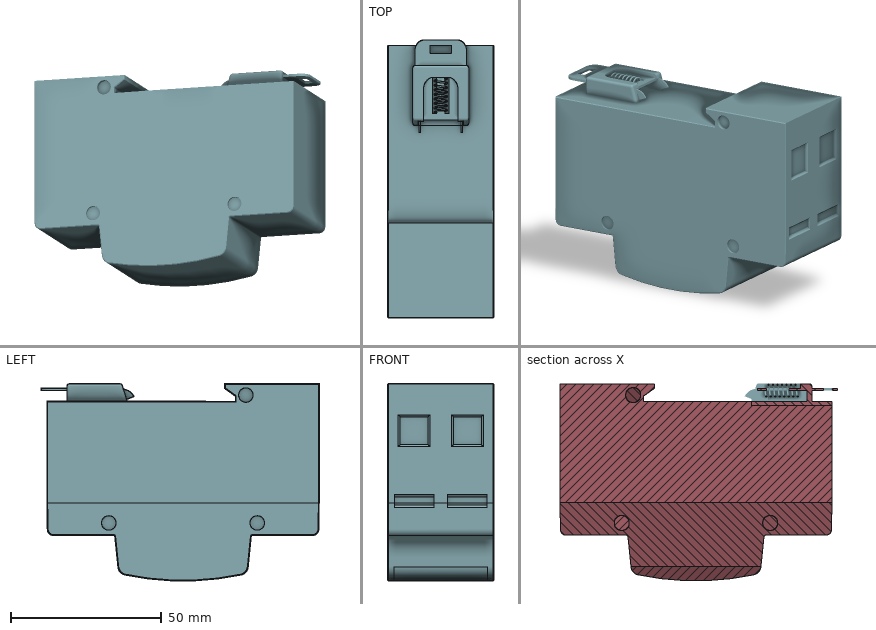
import cadquery as cq
import math

width = 35.4
half_width = width / 2
body_length = 90.6
mid_y = body_length / 2
top_z = 65.6
rail_floor_z = 59.8
split_z = 26.0
shoulder_z = 15.2
side_draft = 0.2
rim_chamfer = 0.3

hook_tip_y = 31.5
hook_tip_z = 64.1
hook_root_y = 27.9
hook_root_z = 61.5
relief_edge_y = 39.75
relief_middle_y = 39.4
relief_depth = 0.1

nose_half_top = 22.7
nose_half_low = 21.4
nose_corner_z = 2.5
nose_corner_radius = 3.1
shoulder_radius = 2.0
nose_root_radius = 0.5
panel_half_width = 15.5
panel_top_z = 4.7

pole_offset = 8.9
terminal_size = 10.5
terminal_bevel = 0.65
terminal_depth = 0.8
terminal_z = 50.0
slot_width = 13.1
slot_height = 4.25
slot_bevel = 0.8
slot_depth = 0.9
slot_z = 26.6

rivet_radius = 2.4
upper_rivet_y = 24.4
upper_rivet_z = 61.8
upper_rivet_recess = 1.4
lower_rivet_offset = 24.7
lower_rivet_z = 19.3
lower_rivet_recess = 0.8

clip_half_width = 9.3
clip_back_y = 83.9
clip_front_top_y = 65.6
clip_front_low_y = 63.9
clip_fillet = 0.9
slide_half_width = 7.6
slide_depth = 1.4
clip_back_wall = 1.8
plate_top_z = 64.15
plate_thickness = 0.8
plate_bottom_z = plate_top_z - plate_thickness
plate_front_y = 65.7
tab_half_width = 8.5
tab_end_y = 92.4
tab_corner_radius = 3.2
tab_slot_length = 7.3
tab_slot_width = 2.8
tab_slot_y = 89.2
tab_slot_radius = 0.6
opening_half_width = 5.7
opening_back_y = 80.0
opening_back_half_width = 3.0
opening_arc_radius = 4.1
prong_inner_x = 6.75
prong_thickness = 0.6
prong_root_y = 65.3
prong_root_z = 63.9
prong_tip_y = 61.6
prong_tip_z = 61.4
prong_arc_y = 63.0
prong_arc_z = 63.0
prong_heel_z = 60.5
prong_back_y = 69.3

window_half_width = 2.7
window_front_y = 67.9
window_back_y = 79.9
tongue_half_width = 1.4
front_tongue_length = 0.8
back_tongue_length = 3.8
wire_radius = 0.3
coil_radius = 1.9
coil_turns = 7.5
spring_start_y = 68.3
spring_end_y = 79.5
spring_axis_z = plate_bottom_z


def block(x0, x1, y0, y1, z0, z1):
    """Box between two opposite corners."""
    return cq.Workplane("XY").box(x1 - x0, y1 - y0, z1 - z0, centered=False).translate((x0, y0, z0))


def side_prism(points, x0, x1):
    """Prism along X with a polygonal YZ section."""
    return cq.Workplane("YZ", origin=(x0, 0, 0)).polyline(points).close().extrude(x1 - x0)


def edges_along_x(body, offset, z):
    """Edges along X that lie at a height z, on both sides of the middle of the body."""
    reach = 0.2
    found = []
    for y in (mid_y - offset, mid_y + offset):
        corners = [(end * half_width, y + end * reach, z + end * reach) for end in (-1, 1)]
        found += body.edges("|X").edges(cq.selectors.BoxSelector(*corners)).vals()
    return body.newObject(found)


def housing_envelope():
    """Complete housing, before it is divided into base, cover and panel."""
    points_before_arc = [
        (0, top_z),
        (hook_tip_y, top_z),
        (hook_tip_y, hook_tip_z),
        (hook_root_y, hook_root_z),
        (hook_root_y, rail_floor_z),
        (body_length, rail_floor_z),
        (body_length, split_z),
        (body_length - side_draft, shoulder_z),
        (mid_y + nose_half_top, shoulder_z),
        (mid_y + nose_half_low, nose_corner_z),
    ]
    points_after_arc = [
        (mid_y - nose_half_top, shoulder_z),
        (side_draft, shoulder_z),
        (0, split_z),
    ]
    outline = cq.Workplane("YZ", origin=(-half_width, 0, 0)).polyline(points_before_arc)
    outline = outline.threePointArc((mid_y, 0), (mid_y - nose_half_low, nose_corner_z))
    for point in points_after_arc:
        outline = outline.lineTo(*point)
    body = outline.close().extrude(width)

    body = edges_along_x(body, nose_half_low, nose_corner_z).fillet(nose_corner_radius)
    body = edges_along_x(body, mid_y - side_draft, shoulder_z).fillet(shoulder_radius)
    body = edges_along_x(body, nose_half_top, shoulder_z).fillet(nose_root_radius)
    return body.faces("<X or >X").edges().chamfer(rim_chamfer)


def rail_relief(side):
    """Very shallow wedge in the channel floor beside the hook, on one half of the width."""
    def section(plane_x, start_y):
        corners = [
            (plane_x, start_y, rail_floor_z),
            (plane_x, hook_root_y, rail_floor_z),
            (plane_x, hook_root_y, rail_floor_z - relief_depth),
        ]
        return cq.Wire.makePolygon([cq.Vector(*corner) for corner in corners], close=True)

    sections = [section(0, relief_middle_y), section(side * half_width, relief_edge_y)]
    return cq.Workplane(cq.Solid.makeLoft(sections, True))


def front_pocket(x, z, pocket_width, pocket_height, side_bevel, end_bevel, depth):
    """Pocket in the front face that narrows toward its flat floor."""
    mouth = cq.Workplane("XZ", origin=(x, 0, z)).rect(pocket_width, pocket_height)
    floor_width = pocket_width - 2 * side_bevel
    floor_height = pocket_height - 2 * end_bevel
    floor = mouth.workplane(offset=-depth).rect(floor_width, floor_height)
    return floor.loft(ruled=True)


def front_pockets():
    """One terminal window and one slot for each pole."""
    pockets = []
    for x in (-pole_offset, pole_offset):
        pockets.append(front_pocket(
            x, terminal_z, terminal_size, terminal_size, terminal_bevel, terminal_bevel, terminal_depth))
        pockets.append(front_pocket(x, slot_z, slot_width, slot_height, 0, slot_bevel, slot_depth))
    return pockets


rivet_places = [
    (upper_rivet_y, upper_rivet_z, upper_rivet_recess),
    (mid_y - lower_rivet_offset, lower_rivet_z, lower_rivet_recess),
    (mid_y + lower_rivet_offset, lower_rivet_z, lower_rivet_recess),
]


def cross_cylinder(y, z, recess):
    """Cylinder along X whose ends lie a given distance inside the side faces."""
    length = width - 2 * recess
    return cq.Workplane("YZ", origin=(-length / 2, y, z)).circle(rivet_radius).extrude(length)


rivets = [cross_cylinder(y, z, recess) for y, z, recess in rivet_places]

slide_space = block(
    -slide_half_width, slide_half_width, clip_front_low_y, body_length,
    rail_floor_z - slide_depth, rail_floor_z)

housing = housing_envelope().cut(slide_space)
for rivet_y, rivet_z, _ in rivet_places:
    housing = housing.cut(cross_cylinder(rivet_y, rivet_z, 0))
for pocket in front_pockets():
    housing = housing.cut(pocket)
for side in (-1, 1):
    housing = housing.cut(rail_relief(side))

base = housing.intersect(block(-half_width, half_width, 0, body_length, split_z, top_z))
lower_housing = housing.intersect(block(-half_width, half_width, 0, body_length, 0, split_z))
panel_space = block(-panel_half_width, panel_half_width, 0, body_length, 0, panel_top_z)
panel = lower_housing.intersect(panel_space)
cover = lower_housing.cut(panel_space)


def clip_shell():
    """Hollow hood with a sloping front, open toward the front and the floor."""
    section = [
        (clip_back_y, rail_floor_z),
        (clip_back_y, top_z),
        (clip_front_top_y, top_z),
        (clip_front_low_y, rail_floor_z),
    ]
    hood = side_prism(section, -clip_half_width, clip_half_width)
    hood = hood.edges("not <Z").fillet(clip_fillet)
    return hood.cut(block(
        -slide_half_width, slide_half_width, 0, clip_back_y - clip_back_wall, rail_floor_z, plate_top_z))


def clip_opening():
    """Arched opening in the hood's roof, running out through the front."""
    arc_width = opening_half_width - opening_back_half_width
    rise = math.sqrt(opening_arc_radius**2 - (opening_arc_radius - arc_width) ** 2)
    arc_start_y = opening_back_y - rise
    half_angle = math.asin(rise / opening_arc_radius) / 2
    arc_mid_x = opening_half_width - opening_arc_radius * (1 - math.cos(half_angle))
    arc_mid_y = arc_start_y + opening_arc_radius * math.sin(half_angle)
    outline = (
        cq.Workplane("XY", origin=(0, 0, plate_bottom_z))
        .moveTo(-opening_half_width, 0)
        .lineTo(opening_half_width, 0)
        .lineTo(opening_half_width, arc_start_y)
        .threePointArc((arc_mid_x, arc_mid_y), (opening_back_half_width, opening_back_y))
        .lineTo(-opening_back_half_width, opening_back_y)
        .threePointArc((-arc_mid_x, arc_mid_y), (-opening_half_width, arc_start_y))
        .close()
    )
    return outline.extrude(top_z - plate_bottom_z)


def clip_plate():
    """Flat plate under the roof that leaves the hood at the back as a pull tab."""
    plate = block(-tab_half_width, tab_half_width, plate_front_y, tab_end_y, plate_bottom_z, plate_top_z)
    plate = plate.edges("|Z and >Y").fillet(tab_corner_radius)
    tab_slot = (
        cq.Workplane("XY", origin=(0, tab_slot_y, plate_bottom_z))
        .rect(tab_slot_length, tab_slot_width)
        .extrude(plate_thickness)
        .edges("|Z")
        .fillet(tab_slot_radius)
    )
    return plate.cut(tab_slot)


def spring_window():
    """Window in the plate around the spring, with flat tongues that enter both coil ends."""
    def opening(half_span, y0, y1):
        return block(-half_span, half_span, y0, y1, plate_bottom_z, plate_top_z)

    window = opening(window_half_width, window_front_y, window_back_y)
    front_tongue = opening(tongue_half_width, window_front_y, window_front_y + front_tongue_length)
    back_tongue = opening(tongue_half_width, window_back_y - back_tongue_length, window_back_y)
    return window.cut(front_tongue).cut(back_tongue)


def prong(side):
    """Thin pointed catch standing on the slide, next to one side wall."""
    outline = (
        cq.Workplane("YZ", origin=(side * prong_inner_x, 0, 0))
        .moveTo(prong_back_y, plate_top_z)
        .lineTo(prong_root_y, plate_top_z)
        .lineTo(prong_root_y, prong_root_z)
        .threePointArc((prong_arc_y, prong_arc_z), (prong_tip_y, prong_tip_z))
        .lineTo(clip_front_low_y, prong_heel_z)
        .lineTo(clip_front_low_y, rail_floor_z)
        .lineTo(prong_back_y, rail_floor_z)
        .close()
    )
    return outline.extrude(side * prong_thickness)


clip = clip_shell().cut(clip_opening()).union(clip_plate()).cut(spring_window())
clip = clip.union(slide_space)
for side in (-1, 1):
    clip = clip.union(prong(side))


def coil_spring():
    """Left-hand coil along Y, wound around the plate's tongues."""
    length = spring_end_y - spring_start_y
    path = cq.Wire.makeHelix(length / coil_turns, length, coil_radius, lefthand=True)
    wire_section = cq.Workplane("XZ", origin=(coil_radius, 0, 0)).circle(wire_radius)
    coil = wire_section.sweep(cq.Workplane(path), isFrenet=True)
    coil = coil.rotate((0, 0, 0), (0, 0, 1), 180)
    coil = coil.rotate((0, 0, 0), (1, 0, 0), -90)
    return coil.translate((0, spring_start_y, spring_axis_z))


spring = coil_spring()

result = cq.Compound.makeCompound([
    base.val(),
    cover.val(),
    panel.val(),
    clip.val(),
    spring.val(),
    *[rivet.val() for rivet in rivets],
])